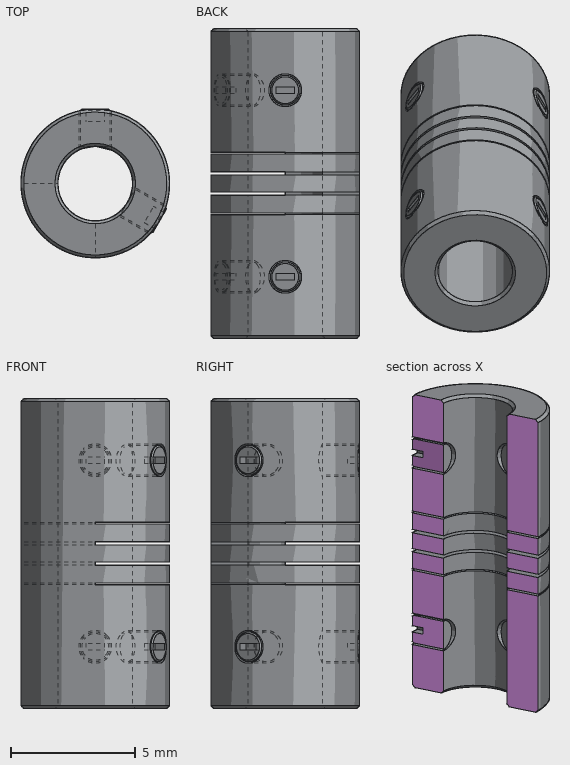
import cadquery as cq

outer_radius = 3.0
bore_radius = 1.5
length = 12.5
edge_chamfer = 0.12

slit_pitch = 0.815
inner_slit_width = 0.12
outer_slit_width = 0.06
inner_slit_height = slit_pitch / 2
outer_slit_height = inner_slit_height + slit_pitch

screw_hole_radius = 0.66
screw_clearance = 0.06
screw_radius = screw_hole_radius - screw_clearance
screw_chamfer = 0.06
screw_length = outer_radius - bore_radius
screw_height = 3.76
screw_angles = (-30, 90)

driver_slot_length = 0.75
driver_slot_width = 0.25
driver_slot_depth = 0.5


def place_on_sleeve(radial_body, angle, height):
    """Move a body built along +X to its angle around the sleeve and its height."""
    return radial_body.rotate((0, 0, 0), (0, 0, 1), angle).translate((0, 0, height))


def make_slit_cutter(height, width):
    """Flat disc without its -X, -Y quarter, which leaves that quarter of the wall uncut."""
    disc = cq.Workplane("XY").circle(2 * outer_radius).extrude(width)
    uncut_quarter = (
        cq.Workplane("XY")
        .rect(-2 * outer_radius, -2 * outer_radius, centered=False)
        .extrude(width)
    )
    return disc.cut(uncut_quarter).translate((0, 0, height - width / 2))


def make_screw_hole():
    """Radial hole along +X, from the sleeve axis out through the wall."""
    return cq.Workplane("YZ").circle(screw_hole_radius).extrude(2 * outer_radius)


def make_screw():
    """Set screw along +X with a chamfered, slotted outer end."""
    blank = (
        cq.Workplane("YZ")
        .workplane(offset=bore_radius)
        .circle(screw_radius)
        .extrude(screw_length)
        .faces(">X")
        .chamfer(screw_chamfer)
    )
    driver_slot = (
        cq.Workplane("YZ")
        .workplane(offset=outer_radius)
        .rect(driver_slot_length, driver_slot_width)
        .extrude(-driver_slot_depth)
    )
    return blank.cut(driver_slot)


def make_sleeve(screw_places):
    """Chamfered tube with its flexure slits and screw holes."""
    sleeve = (
        cq.Workplane("XY")
        .workplane(offset=-length / 2)
        .circle(outer_radius)
        .circle(bore_radius)
        .extrude(length)
        .faces("<Z or >Z")
        .chamfer(edge_chamfer)
    )
    for side in (-1, 1):
        sleeve = sleeve.cut(make_slit_cutter(side * inner_slit_height, inner_slit_width))
        sleeve = sleeve.cut(make_slit_cutter(side * outer_slit_height, outer_slit_width))
    for angle, height in screw_places:
        sleeve = sleeve.cut(place_on_sleeve(make_screw_hole(), angle, height))
    return sleeve


screw_places = [
    (angle, side * screw_height)
    for angle in screw_angles
    for side in (-1, 1)
]
sleeve = make_sleeve(screw_places)
screws = [place_on_sleeve(make_screw(), angle, height) for angle, height in screw_places]

result = cq.Compound.makeCompound([sleeve.val(), *[screw.val() for screw in screws]])